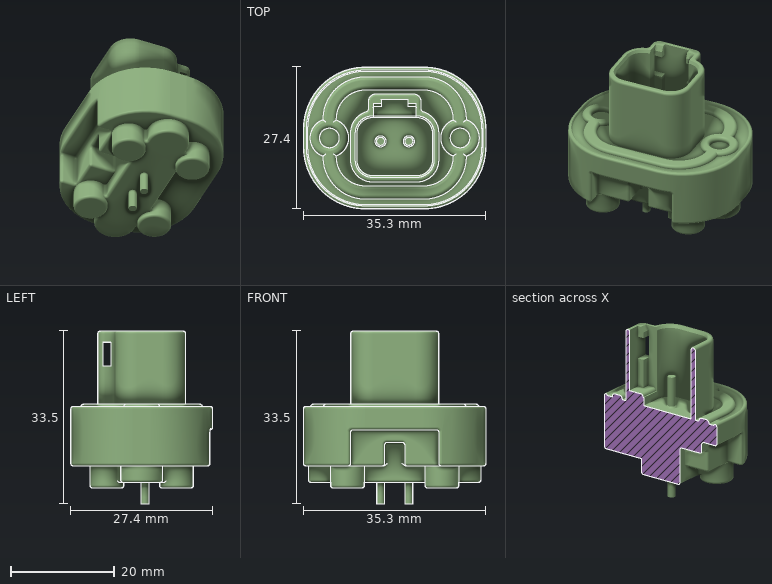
import cadquery as cq
import math

SHELL_TOP = 14.57
BEAD_TOP = 0.47
DECK_Z = -0.3
HOLE_FLOOR = -0.6
BODY_BOTTOM = -11.54
BOSS_BOTTOM = -14.73
PEG_BOTTOM = -15.8
PIN_BOTTOM = -18.88

BODY_LENGTH = 35.31
BODY_WIDTH = 27.43
BODY_CORNER = 12.0
EDGE_ROUND = 0.5
RIM_CREST_INSET = 0.57
RIM_FOOT_INSET = 0.82

BEAD_LENGTH = 27.72
BEAD_SPAN = 23.64
BEAD_CORNER = 8.2
BEAD_WIDTH = 2.55
BEAD_ROUND = 0.75
EAR_X = 12.63
RING_RADIUS = 3.72
HOLE_RADIUS = 1.9

RECESS_WIDTH = 17.1
RECESS_TOP = -4.55
RECESS_FLOOR_Y = -10.0
SLOT_WIDTH = 3.9
SLOT_TOP = -6.98

BOSS_HALF_WIDTH = 4.72
EAR_RADIUS = 4.06
PEG_X = 9.13
PEG_Y = 6.72
PEG_RADIUS = 3.28
BLEND = 0.5

SHELL_LENGTH = 17.06
SHELL_BACK = 5.25
SHELL_FRONT = -8.51
SHELL_CORNER = 4.27
SHELL_WALL = 1.22
CAVITY_BACK = 3.95
SHELL_EDGE_ROUND = 0.55
LEAD_IN_WIDTH = 0.33
LEAD_IN_DEPTH = 0.58

LATCH_WIDTH = 10.18
LATCH_BACK = 8.51
LATCH_CORNER = 1.47
LATCH_BLEND = 0.6
LATCH_CAVITY_WIDTH = 8.28
LATCH_CAVITY_BACK = 7.48
LATCH_CENTER_WIDTH = 5.14
PILLAR_FRONT = 6.1
PILLAR_RAMP_WIDTH = 0.59
PILLAR_RAMP_HEIGHT = 1.05
SHELF_Z = 2.0
SHELF_ROUND = 0.65
SHELF_LEDGE = 0.26
WINDOW_BOTTOM = 7.84
WINDOW_TOP = 12.35
WINDOW_FRONT = 5.94

PIN_X = 2.73
PIN_Y = -0.64
PIN_RADIUS = 0.78
PIN_TOP = 6.0
PIN_COLLAR = 0.29

OVERCUT = 1.0
TOLERANCE = 0.05


def box(x0, x1, y0, y1, z0, z1):
    """Box between two opposite corners."""
    return cq.Workplane("XY").box(x1 - x0, y1 - y0, z1 - z0, centered=False).translate((x0, y0, z0))


def cylinder(x, y, radius, z0, z1):
    return cq.Workplane("XY", origin=(x, y, z0)).circle(radius).extrude(z1 - z0)


def oval(length, width, corner, z0, z1):
    """Prism over a rectangle with rounded corners, centred on the Z axis."""
    solid = box(-length / 2, length / 2, -width / 2, width / 2, z0, z1)
    return solid.edges("|Z").fillet(corner)


def front_pocket(width, top, back_y):
    """Cutter open to the front and below, with rounded upper and inner corners."""
    front_y = -BODY_WIDTH / 2 - OVERCUT
    cutter = box(-width / 2, width / 2, front_y, back_y, BODY_BOTTOM - OVERCUT, top)
    cutter = cutter.edges("|Y and >Z").fillet(EDGE_ROUND)
    return cutter.faces(">Y").edges("not <Z").fillet(EDGE_ROUND)


def edges_within(width, front_y, back_y, top):
    """Selector of edges wholly inside a centred box that stands on the body bottom."""
    near_corner = (-width / 2 - TOLERANCE, front_y - TOLERANCE, BODY_BOTTOM - TOLERANCE)
    far_corner = (width / 2 + TOLERANCE, back_y + TOLERANCE, top + TOLERANCE)
    return cq.selectors.BoxSelector(near_corner, far_corner, boundingbox=True)


def deck_recess():
    """Shallow recess inside the rim, narrowing from the rim crest to the deck."""
    outline = (
        cq.Sketch()
        .rect(BODY_LENGTH - 2 * RIM_CREST_INSET, BODY_WIDTH - 2 * RIM_CREST_INSET)
        .vertices().fillet(BODY_CORNER - RIM_CREST_INSET)
    )
    taper = math.degrees(math.atan((RIM_FOOT_INSET - RIM_CREST_INSET) / -DECK_Z))
    return cq.Workplane("XY").placeSketch(outline).extrude(DECK_Z, taper=taper)


def make_body():
    body = oval(BODY_LENGTH, BODY_WIDTH, BODY_CORNER, BODY_BOTTOM, 0)
    body = body.cut(front_pocket(RECESS_WIDTH, RECESS_TOP, RECESS_FLOOR_Y))
    body = body.cut(front_pocket(SLOT_WIDTH, SLOT_TOP, -BOSS_HALF_WIDTH))
    recess_opening = edges_within(
        RECESS_WIDTH, -BODY_WIDTH / 2, RECESS_FLOOR_Y - 2 * EDGE_ROUND, RECESS_TOP
    )
    slot_opening = edges_within(SLOT_WIDTH, RECESS_FLOOR_Y, RECESS_FLOOR_Y, SLOT_TOP)
    openings = body.edges(recess_opening + slot_opening)
    body = openings.add(body.faces("<Z").edges()).fillet(EDGE_ROUND)
    body = body.faces(">Z").edges().fillet(EDGE_ROUND)
    return body.cut(deck_recess())


def make_bead():
    """Sealing bead with a ring around each screw hole, rounded on its top edges."""
    inner_length = BEAD_LENGTH - 2 * BEAD_WIDTH
    inner_span = BEAD_SPAN - 2 * BEAD_WIDTH
    bead = oval(BEAD_LENGTH, BEAD_SPAN, BEAD_CORNER, DECK_Z, BEAD_TOP)
    bead = bead.cut(oval(inner_length, inner_span, BEAD_CORNER - BEAD_WIDTH, DECK_Z, BEAD_TOP))
    bead = bead.faces(">Z").edges().fillet(BEAD_ROUND)
    ring_middle = (RING_RADIUS + HOLE_RADIUS) / 2
    for x in (-EAR_X, EAR_X):
        ring = cylinder(x, 0, RING_RADIUS, DECK_Z, BEAD_TOP)
        ring = ring.cut(cylinder(x, 0, HOLE_RADIUS, DECK_Z, BEAD_TOP))
        ring = ring.faces(">Z").edges().fillet(BEAD_ROUND)
        bead = bead.cut(cylinder(x, 0, ring_middle, DECK_Z, BEAD_TOP)).union(ring)
    return bead


def blend_gusset(points, center, z0, z1):
    """Fillet material: a polygon with the blend circle around center taken out."""
    gusset = cq.Workplane("XY", origin=(0, 0, z0)).polyline(points).close().extrude(z1 - z0)
    return gusset.cut(cylinder(center[0], center[1], BLEND, z0, z1))


def peg_to_face_blend():
    """Blend between a peg and the long face of the block."""
    reach = PEG_RADIUS + BLEND
    center_y = BOSS_HALF_WIDTH + BLEND
    center_x = PEG_X - math.sqrt(reach**2 - (PEG_Y - center_y) ** 2)
    points = [(PEG_X, PEG_Y), (center_x, center_y), (center_x, 0), (PEG_X, 0)]
    return blend_gusset(points, (center_x, center_y), BOSS_BOTTOM, BODY_BOTTOM)


def peg_to_ear_blend():
    """Blend between a peg and the neighbouring ear."""
    reach_peg = PEG_RADIUS + BLEND
    reach_ear = EAR_RADIUS + BLEND
    dx = PEG_X - EAR_X
    spacing = math.hypot(dx, PEG_Y)
    along = (reach_ear**2 - reach_peg**2 + spacing**2) / (2 * spacing)
    across = math.sqrt(reach_ear**2 - along**2)
    center_x = EAR_X + (along * dx + across * PEG_Y) / spacing
    center_y = (along * PEG_Y - across * dx) / spacing
    points = [(PEG_X, PEG_Y), (center_x, center_y), (EAR_X, 0), (PEG_X, 0)]
    return blend_gusset(points, (center_x, center_y), BOSS_BOTTOM, BODY_BOTTOM)


def make_boss():
    quarter = box(0, PEG_X, 0, BOSS_HALF_WIDTH, BOSS_BOTTOM, BODY_BOTTOM + EDGE_ROUND)
    quarter = quarter.union(cylinder(PEG_X, PEG_Y, PEG_RADIUS, BOSS_BOTTOM, BODY_BOTTOM))
    quarter = quarter.union(peg_to_face_blend()).union(peg_to_ear_blend())
    half = quarter.union(quarter.mirror("XZ"))
    half = half.union(cylinder(EAR_X, 0, EAR_RADIUS, BOSS_BOTTOM, BODY_BOTTOM))
    boss = half.union(half.mirror("YZ")).clean()
    return boss.faces("<Z").edges().fillet(EDGE_ROUND)


def make_pegs():
    pegs = cq.Workplane("XY")
    for x in (-PEG_X, PEG_X):
        for y in (-PEG_Y, PEG_Y):
            peg = cylinder(x, y, PEG_RADIUS, PEG_BOTTOM, BODY_BOTTOM)
            pegs = pegs.add(peg.faces("<Z").edges().fillet(EDGE_ROUND))
    return pegs.combine()


def make_shell():
    half = SHELL_LENGTH / 2
    shell = box(-half, half, SHELL_FRONT, SHELL_BACK, DECK_Z, SHELL_TOP)
    shell = shell.edges("|Z").fillet(SHELL_CORNER)
    latch_half = LATCH_WIDTH / 2
    latch = box(-latch_half, latch_half, 0, LATCH_BACK, DECK_Z, SHELL_TOP)
    latch = latch.edges("|Z and >Y").fillet(LATCH_CORNER)
    shell = shell.union(latch)
    near_joint = cq.selectors.BoxSelector(
        (-latch_half - TOLERANCE, SHELL_BACK - LATCH_BLEND, DECK_Z),
        (latch_half + TOLERANCE, SHELL_BACK + TOLERANCE, SHELL_TOP),
    )
    shell = shell.edges("|Z").edges(near_joint).fillet(LATCH_BLEND)
    return shell.faces(">Z").edges().fillet(SHELL_EDGE_ROUND)


def shell_cavity():
    half = SHELL_LENGTH / 2 - SHELL_WALL
    front = SHELL_FRONT + SHELL_WALL
    cavity = box(-half, half, front, CAVITY_BACK, DECK_Z, SHELL_TOP)
    cavity = cavity.edges("|Z").fillet(SHELL_CORNER - SHELL_WALL)
    taper = math.degrees(math.atan(LEAD_IN_WIDTH / LEAD_IN_DEPTH))
    mouth = (
        cq.Sketch()
        .rect(2 * (half + LEAD_IN_WIDTH), CAVITY_BACK - front + 2 * LEAD_IN_WIDTH)
        .vertices().fillet(SHELL_CORNER - SHELL_WALL + LEAD_IN_WIDTH)
    )
    lead_in = (
        cq.Workplane("XY", origin=(0, (front + CAVITY_BACK) / 2, SHELL_TOP))
        .placeSketch(mouth).extrude(-LEAD_IN_DEPTH, taper=taper)
    )
    return cavity.union(lead_in)


def latch_cavity():
    """Room for the latch: a shelf floor, and a pillar with a ramped top in each back corner."""
    half = LATCH_CAVITY_WIDTH / 2
    center_half = LATCH_CENTER_WIDTH / 2
    wide = box(-half, half, 0, PILLAR_FRONT, SHELF_Z, SHELL_TOP)
    center = box(-center_half, center_half, 0, LATCH_CAVITY_BACK, SHELF_Z, SHELL_TOP)
    ramp = (
        cq.Workplane("YZ", origin=(-half, 0, 0))
        .moveTo(PILLAR_FRONT, SHELL_TOP)
        .lineTo(PILLAR_FRONT + PILLAR_RAMP_WIDTH, SHELL_TOP)
        .lineTo(PILLAR_FRONT, SHELL_TOP - PILLAR_RAMP_HEIGHT)
        .close().extrude(LATCH_CAVITY_WIDTH)
    )
    ledge_z = SHELF_Z - SHELF_ROUND
    ledge_back = CAVITY_BACK + SHELF_LEDGE
    shelf_back = ledge_back + SHELF_ROUND
    shelf_edge = box(-half, half, 0, shelf_back, ledge_z, SHELF_Z)
    rounding = (
        cq.Workplane("YZ", origin=(-half, shelf_back, ledge_z))
        .circle(SHELF_ROUND).extrude(LATCH_CAVITY_WIDTH)
    )
    return wide.union(center).union(ramp).union(shelf_edge.cut(rounding))


def latch_window():
    """Window through both side walls of the latch housing and through the pillars."""
    return box(
        -LATCH_WIDTH, LATCH_WIDTH, WINDOW_FRONT, LATCH_CAVITY_BACK, WINDOW_BOTTOM, WINDOW_TOP
    )


def make_pin(x):
    pin = cylinder(x, PIN_Y, PIN_RADIUS, PIN_BOTTOM, PIN_TOP)
    base_radius = PIN_RADIUS + PIN_COLLAR
    collar = cq.Workplane("XY").add(
        cq.Solid.makeCone(base_radius, PIN_RADIUS, PIN_COLLAR, cq.Vector(x, PIN_Y, DECK_Z))
    )
    return pin.union(collar)


result = make_body()
for part in (make_bead(), make_boss(), make_pegs(), make_shell()):
    result = result.union(part)
for cutter in (shell_cavity(), latch_cavity(), latch_window()):
    result = result.cut(cutter)
for side in (-1, 1):
    result = result.cut(cylinder(side * EAR_X, 0, HOLE_RADIUS, HOLE_FLOOR, BEAD_TOP))
    result = result.union(make_pin(side * PIN_X))